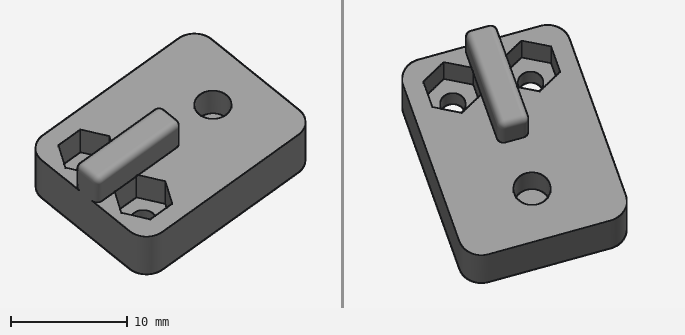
import cadquery as cq

plate_width = 15.0
plate_length = 20.0
plate_thickness = 5.0
corner_radius = 2.0

rib_width = 2.8
rib_length = 10.0
rib_height = 3.0
rib_rounding = 0.6

blind_hole_diameter = 3.2
blind_hole_y = 5.0
blind_hole_depth = 3.0

screw_spacing = 7.0
screw_from_front = 3.5
screw_diameter = 2.2
nut_sides = 6
nut_across_corners = 5.2
nut_pocket_depth = 3.0


def make_plate():
    return (
        cq.Workplane("XY")
        .box(plate_width, plate_length, plate_thickness, centered=(True, True, False))
        .edges("|Z")
        .fillet(corner_radius)
    )


def make_rib():
    """Rib on top of the plate; its long sides slightly overhang the nut pockets."""
    rib_center_y = (rib_length - plate_length) / 2
    return (
        cq.Workplane("XY", origin=(0, rib_center_y, plate_thickness))
        .box(rib_width, rib_length, rib_height, centered=(True, True, False))
        .edges("|Z or >Z")
        .fillet(rib_rounding)
    )


def make_blind_hole():
    return (
        cq.Workplane("XY", origin=(0, blind_hole_y, plate_thickness - blind_hole_depth))
        .circle(blind_hole_diameter / 2)
        .extrude(blind_hole_depth)
    )


def make_nut_hole(x):
    """Through hole topped by a hexagonal pocket with corners pointing along Y."""
    y = screw_from_front - plate_length / 2
    screw_hole = (
        cq.Workplane("XY", origin=(x, y, 0))
        .circle(screw_diameter / 2)
        .extrude(plate_thickness)
    )
    nut_pocket = (
        cq.Workplane("XY", origin=(x, y, plate_thickness - nut_pocket_depth))
        .transformed(rotate=(0, 0, 90))
        .polygon(nut_sides, nut_across_corners)
        .extrude(nut_pocket_depth)
    )
    return screw_hole.union(nut_pocket)


result = make_plate().cut(make_blind_hole())
for side in (-1, 1):
    result = result.cut(make_nut_hole(side * screw_spacing / 2))
result = result.union(make_rib())